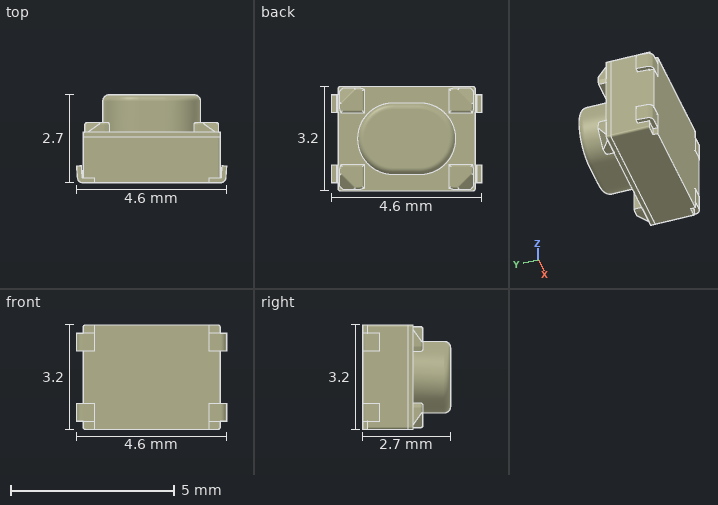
import cadquery as cq
import math


TOTAL_LENGTH = 4.6
TOTAL_DEPTH = 2.7

BODY_LENGTH = 4.2
BODY_HEIGHT = 3.2
BODY_CORNER_RADIUS = 0.075
COVER_TOP_Y = 1.55
COVER_THICKNESS = 0.15
BASE_DEPTH = COVER_TOP_Y - COVER_THICKNESS

BUTTON_LENGTH = 3.0
BUTTON_HEIGHT = 2.2
BUTTON_EDGE_RADIUS = 0.202

POST_SIZE = 0.76
POST_HEIGHT = 0.3
POST_INSET = 0.05
POST_BEVEL_LENGTH = 0.14
POST_BEVEL_ANGLE = math.radians(15)
POST_TOP_RADIUS = 0.075
POST_CUT_AT_FOOT = 0.095
POST_CUT_AT_TOP = 0.515

TERMINAL_THICKNESS = 0.15
TERMINAL_WIDTH = 0.55
TERMINAL_RISE = 0.515
TERMINAL_EDGE_GAP = 0.25
TERMINAL_BEND_RADIUS = 0.17
TERMINAL_LEAN = math.radians(4)
NOTCH_LENGTH = 0.35

CORNERS = [(x_side, z_side) for x_side in (-1, 1) for z_side in (-1, 1)]


def rounded_slab(start_y, thickness):
    """Rounded rectangle of the body outline, thickened along +Y."""
    return (
        cq.Workplane("XZ", origin=(0, start_y, 0))
        .rect(BODY_LENGTH, BODY_HEIGHT)
        .extrude(-thickness)
        .edges("|Y")
        .fillet(BODY_CORNER_RADIUS)
    )


def to_corner(shape, x_side, z_side):
    """Mirror a shape made for the +X +Z corner into the given corner."""
    if x_side < 0:
        shape = shape.mirror("YZ")
    if z_side < 0:
        shape = shape.mirror("XY")
    return shape


def make_notch():
    """Space cut from the base at a mounting corner, open to both sides of the corner."""
    length = NOTCH_LENGTH
    height = TERMINAL_EDGE_GAP + TERMINAL_WIDTH
    return cq.Workplane("XY").box(length, TERMINAL_THICKNESS, height, centered=False).translate(
        (BODY_LENGTH / 2 - length, 0, BODY_HEIGHT / 2 - height)
    )


def make_base():
    base = rounded_slab(0, BASE_DEPTH)
    for x_side, z_side in CORNERS:
        base = base.cut(to_corner(make_notch(), x_side, z_side))
    return base


def make_post():
    """Post with a shallow bevel at the end of both outer sides.

    Its outer corner is cut by a sloping face that runs deeper towards the top.
    """
    outer_x = BODY_LENGTH / 2 - POST_INSET
    outer_z = BODY_HEIGHT / 2 - POST_INSET
    inner_x = outer_x - POST_SIZE
    inner_z = outer_z - POST_SIZE
    bevel_drop = POST_BEVEL_LENGTH * math.tan(POST_BEVEL_ANGLE)
    post = (
        cq.Workplane("ZX", origin=(0, COVER_TOP_Y, 0))
        .polyline(
            [
                (outer_z, outer_x),
                (outer_z, inner_x + POST_BEVEL_LENGTH),
                (outer_z - bevel_drop, inner_x),
                (inner_z, inner_x),
                (inner_z, outer_x - bevel_drop),
                (inner_z + POST_BEVEL_LENGTH, outer_x),
            ]
        )
        .close()
        .extrude(POST_HEIGHT)
    )

    def cut_outline(y, leg):
        corner = cq.Vector(outer_x, y, outer_z)
        points = [corner, corner - cq.Vector(leg, 0, 0), corner - cq.Vector(0, 0, leg)]
        return cq.Wire.makePolygon(points, close=True)

    foot = cut_outline(COVER_TOP_Y, POST_CUT_AT_FOOT)
    top = cut_outline(COVER_TOP_Y + POST_HEIGHT, POST_CUT_AT_TOP)
    post = post.cut(cq.Workplane(cq.Solid.makeLoft([foot, top], True)))
    return post.faces(">Y").edges().fillet(POST_TOP_RADIUS)


def make_cover():
    cover = rounded_slab(BASE_DEPTH, COVER_THICKNESS)
    for x_side, z_side in CORNERS:
        cover = cover.union(to_corner(make_post(), x_side, z_side))
    return cover


def make_button():
    return (
        cq.Workplane("XZ", origin=(0, COVER_TOP_Y, 0))
        .slot2D(BUTTON_LENGTH, BUTTON_HEIGHT)
        .extrude(COVER_TOP_Y - TOTAL_DEPTH)
        .faces(">Y")
        .edges()
        .fillet(BUTTON_EDGE_RADIUS)
    )


def make_terminal():
    """Foot in the base notch with a leg that leans outwards along the side of the base."""
    foot_end_x = BODY_LENGTH / 2 - NOTCH_LENGTH
    outer_tip_x = TOTAL_LENGTH / 2
    outer_bend_x = outer_tip_x - TERMINAL_RISE * math.tan(TERMINAL_LEAN)
    inner_tip_x = outer_tip_x - TERMINAL_THICKNESS * math.cos(TERMINAL_LEAN)
    inner_tip_y = TERMINAL_RISE + TERMINAL_THICKNESS * math.sin(TERMINAL_LEAN)
    inner_bend_x = inner_tip_x - (inner_tip_y - TERMINAL_THICKNESS) * math.tan(TERMINAL_LEAN)
    near_z = BODY_HEIGHT / 2 - TERMINAL_EDGE_GAP
    terminal = (
        cq.Workplane("XY", origin=(0, 0, near_z - TERMINAL_WIDTH))
        .moveTo(foot_end_x, 0)
        .lineTo(outer_bend_x, 0)
        .lineTo(outer_tip_x, TERMINAL_RISE)
        .lineTo(inner_tip_x, inner_tip_y)
        .lineTo(inner_bend_x, TERMINAL_THICKNESS)
        .lineTo(foot_end_x, TERMINAL_THICKNESS)
        .close()
        .extrude(TERMINAL_WIDTH)
    )
    bend_edge = cq.selectors.NearestToPointSelector((outer_bend_x, 0, near_z - TERMINAL_WIDTH / 2))
    return terminal.edges(bend_edge).fillet(TERMINAL_BEND_RADIUS)


base = make_base()
cover = make_cover()
button = make_button()
terminals = [to_corner(make_terminal(), x_side, z_side) for x_side, z_side in CORNERS]

result = cq.Compound.makeCompound(
    [base.val(), cover.val(), button.val(), *[terminal.val() for terminal in terminals]]
)